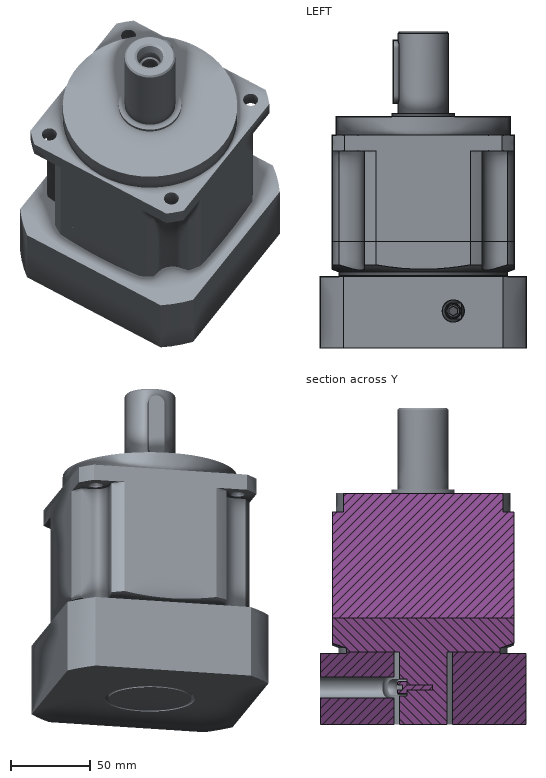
import cadquery as cq
import math

adapter_top = 45.0
neck_bottom = 45.7
neck_top = 48.0
rear_top = 67.0
flange_bottom = 124.3
flange_top = 134.3
pilot_top = 146.0
shoulder_top = 148.0
shaft_top = 199.5

adapter_side = 130.0
adapter_corner_radius = 82.2
neck_radius = 53.3

body_side = 115.1
body_corner_radius = 64.8
flange_corner_radius = 76.0
bolt_offset = 45.9
bolt_hole_diameter = 9.4
notch_fillet = 8.8
notch_inner = bolt_offset - notch_fillet
taper_drop = 4.4
pilot_radius = 55.0

shaft_radius = 16.0
shaft_chamfer = 1.0
shoulder_radius = 19.8
rim_radius = 9.8
cone_radius = 8.4
counterbore_radius = 6.5
thread_radius = 5.2
rim_depth = 0.5
cone_depth = 5.0
counterbore_depth = 10.0
thread_depth = 28.0
drill_half_angle = 59.0

key_width = 10.0
key_length = 40.0
key_center_z = 174.2
key_floor = 11.0
key_outer = 19.0

hub_radius = 26.3
hub_clearance = 2.0
screw_y = -19.0
screw_z = 23.3
port_radius = 7.0
pocket_radius = 5.2
pocket_floor_x = -10.4
head_radius = 4.8
head_length = 6.0
head_chamfer = 0.8
hex_across_flats = 5.2
hex_depth = 3.0
screw_thread_radius = 3.0
screw_thread_length = 16.0


def cylinder(radius, bottom, top):
    """Cylinder on the Z axis."""
    return cq.Workplane("XY").workplane(offset=bottom).circle(radius).extrude(top - bottom)


def turned_square(side, corner_radius, bottom, top):
    """Square prism with its corners cut back to a cylinder on the Z axis."""
    prism = cq.Workplane("XY").workplane(offset=bottom).rect(side, side).extrude(top - bottom)
    return prism.intersect(cylinder(corner_radius, bottom, top))


def x_cylinder(radius, start_x, end_x):
    """Cylinder on the axis of the clamping screw, which runs along X."""
    plane = cq.Plane(origin=(start_x, screw_y, screw_z), xDir=(0, 1, 0), normal=(1, 0, 0))
    return cq.Workplane(plane).circle(radius).extrude(end_x - start_x)


def notched_body(bottom, top):
    """Gearbox section with a filleted bolt notch in each corner."""
    body = turned_square(body_side, body_corner_radius, bottom, top)
    notch_size = body_side / 2
    notch = (
        cq.Workplane("XY")
        .workplane(offset=bottom)
        .rect(notch_size, notch_size, centered=False)
        .extrude(top - bottom)
        .edges("|Z and <X and <Y")
        .fillet(notch_fillet)
        .translate((notch_inner, notch_inner, 0))
    )
    for corner in range(4):
        body = body.cut(notch.rotate((0, 0, 0), (0, 0, 1), 90 * corner))
    return body


def make_key():
    """Feather key with rounded ends, standing in the +Y side of the shaft."""
    plane = cq.Plane(origin=(0, key_floor, key_center_z), xDir=(0, 0, 1), normal=(0, 1, 0))
    return cq.Workplane(plane).slot2D(key_length, key_width).extrude(key_outer - key_floor)


def make_center_hole():
    """Volume removed by the stepped hole in the shaft end."""
    tip_depth = thread_depth + thread_radius / math.tan(math.radians(drill_half_angle))
    return (
        cq.Workplane("XZ")
        .moveTo(0, shaft_top)
        .lineTo(rim_radius, shaft_top)
        .lineTo(cone_radius, shaft_top - rim_depth)
        .lineTo(counterbore_radius, shaft_top - cone_depth)
        .lineTo(counterbore_radius, shaft_top - counterbore_depth)
        .lineTo(thread_radius, shaft_top - counterbore_depth)
        .lineTo(thread_radius, shaft_top - thread_depth)
        .lineTo(0, shaft_top - tip_depth)
        .close()
        .revolve(360, (0, 0, 0), (0, 1, 0))
    )


def make_front_housing():
    """Housing with mounting flange, pilot disc and output shaft."""
    housing = notched_body(rear_top, flange_bottom)
    flange = turned_square(body_side, flange_corner_radius, flange_bottom, flange_top)
    bolt_holes = (
        cq.Workplane("XY")
        .workplane(offset=flange_bottom)
        .rect(2 * bolt_offset, 2 * bolt_offset, forConstruction=True)
        .vertices()
        .circle(bolt_hole_diameter / 2)
        .extrude(flange_top - flange_bottom)
    )
    shaft = cylinder(shaft_radius, shoulder_top, shaft_top).faces(">Z").chamfer(shaft_chamfer)
    housing = housing.union(flange.cut(bolt_holes))
    housing = housing.union(cylinder(pilot_radius, flange_top, pilot_top))
    housing = housing.union(cylinder(shoulder_radius, pilot_top, shoulder_top))
    housing = housing.union(shaft)
    return housing.cut(make_center_hole()).cut(make_key())


def make_screw():
    """Socket head screw that tightens the clamping hub; its head faces -X."""
    head_face_x = pocket_floor_x - head_length
    head = x_cylinder(head_radius, head_face_x, pocket_floor_x).faces("<X").chamfer(head_chamfer)
    hex_plane = cq.Plane(origin=(head_face_x, screw_y, screw_z), xDir=(0, 0, 1), normal=(1, 0, 0))
    hex_across_corners = hex_across_flats / math.cos(math.radians(30))
    socket = cq.Workplane(hex_plane).polygon(6, hex_across_corners).extrude(hex_depth)
    thread = x_cylinder(screw_thread_radius, pocket_floor_x, pocket_floor_x + screw_thread_length)
    return head.cut(socket).union(thread)


def make_rear_body():
    """Rear body with tapered underside, neck and clamping hub."""
    taper_top = neck_top + taper_drop
    envelope = (
        cq.Workplane("XZ")
        .moveTo(0, neck_top)
        .lineTo(neck_radius, neck_top)
        .lineTo(body_corner_radius, taper_top)
        .lineTo(body_corner_radius, rear_top)
        .lineTo(0, rear_top)
        .close()
        .revolve(360, (0, 0, 0), (0, 1, 0))
    )
    rear = notched_body(neck_top, rear_top).intersect(envelope)
    neck = cylinder(neck_radius, neck_bottom, neck_top)
    hub = cylinder(hub_radius, 0, neck_bottom)

    pocket_depth = hub_radius + pocket_floor_x
    pocket_end = x_cylinder(pocket_radius, -hub_radius, pocket_floor_x)
    pocket_run = cq.Workplane("XY").box(
        pocket_depth, hub_radius, 2 * pocket_radius, centered=(False, False, True)
    ).translate((-hub_radius, screw_y - hub_radius, screw_z))
    hub = hub.cut(pocket_end).cut(pocket_run).cut(make_screw())
    return rear.union(neck).union(hub)


def make_adapter():
    """Motor adapter with a low seat for the neck, a bore for the hub and a screw access port."""
    adapter = turned_square(adapter_side, adapter_corner_radius, 0, adapter_top)
    adapter = adapter.union(cylinder(neck_radius, adapter_top, neck_bottom))
    adapter = adapter.cut(cylinder(hub_radius + hub_clearance, 0, neck_bottom))
    return adapter.cut(x_cylinder(port_radius, -adapter_side / 2, 0))


front_housing = make_front_housing()
rear_body = make_rear_body()
adapter = make_adapter()
key = make_key()
screw = make_screw()

result = cq.Compound.makeCompound(
    [body.solids().val() for body in (front_housing, rear_body, adapter, key, screw)]
)